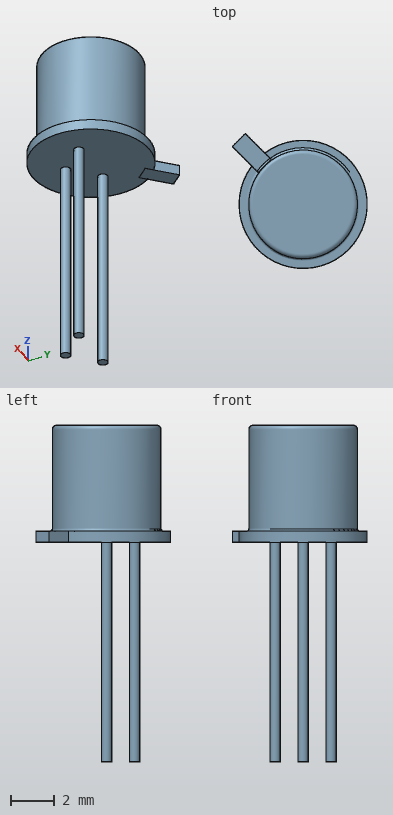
import cadquery as cq
import math

OVERALL_HEIGHT = 15.33
LEAD_LENGTH = 10.0
LEAD_DIAMETER = 0.48
LEAD_CIRCLE_RADIUS = 1.27
LEAD_ANGLES = (180, 270, 360)

FLANGE_DIAMETER = 5.84
FLANGE_THICKNESS = 0.5
CAN_DIAMETER = 4.95
CAN_TOP = OVERALL_HEIGHT - LEAD_LENGTH
CAN_TOP_FILLET = 0.2
CAN_FOOT_FILLET = 0.1

OVERALL_WIDTH = 6.15
TAB_WIDTH = 0.85
TAB_ANGLE = 135
TAB_CORNER_REACH = OVERALL_WIDTH - FLANGE_DIAMETER / 2
TAB_OUTER_RADIUS = TAB_CORNER_REACH * math.sqrt(2) - TAB_WIDTH / 2
TAB_INNER_RADIUS = CAN_DIAMETER / 2


def make_tab():
    """Bar as thick as the flange, reaching from the can wall past the flange rim."""
    length = TAB_OUTER_RADIUS - TAB_INNER_RADIUS
    return (
        cq.Workplane("XY")
        .box(length, TAB_WIDTH, FLANGE_THICKNESS, centered=(False, True, False))
        .translate((TAB_INNER_RADIUS, 0, 0))
        .rotate((0, 0, 0), (0, 0, 1), TAB_ANGLE)
    )


def make_housing(tab):
    """Flanged can with rounded top and foot, notched in the flange to seat the tab."""
    can_radius = CAN_DIAMETER / 2
    flange_radius = FLANGE_DIAMETER / 2
    foot_offset = CAN_FOOT_FILLET * (1 - math.sqrt(0.5))
    top_offset = CAN_TOP_FILLET * (1 - math.sqrt(0.5))
    half_profile = (
        cq.Workplane("XZ")
        .lineTo(flange_radius, 0)
        .lineTo(flange_radius, FLANGE_THICKNESS)
        .lineTo(can_radius + CAN_FOOT_FILLET, FLANGE_THICKNESS)
        .threePointArc(
            (can_radius + foot_offset, FLANGE_THICKNESS + foot_offset),
            (can_radius, FLANGE_THICKNESS + CAN_FOOT_FILLET),
        )
        .lineTo(can_radius, CAN_TOP - CAN_TOP_FILLET)
        .threePointArc(
            (can_radius - top_offset, CAN_TOP - top_offset),
            (can_radius - CAN_TOP_FILLET, CAN_TOP),
        )
        .lineTo(0, CAN_TOP)
        .close()
    )
    return half_profile.revolve(360, (0, 0, 0), (0, 1, 0)).cut(tab)


def make_lead(angle):
    """Round lead hanging from the flange underside at the given angle."""
    x = LEAD_CIRCLE_RADIUS * math.cos(math.radians(angle))
    y = LEAD_CIRCLE_RADIUS * math.sin(math.radians(angle))
    return cq.Workplane("XY").center(x, y).circle(LEAD_DIAMETER / 2).extrude(-LEAD_LENGTH)


tab = make_tab()
housing = make_housing(tab)
leads = [make_lead(angle) for angle in LEAD_ANGLES]

result = cq.Compound.makeCompound([housing.val(), tab.val(), *[lead.val() for lead in leads]])